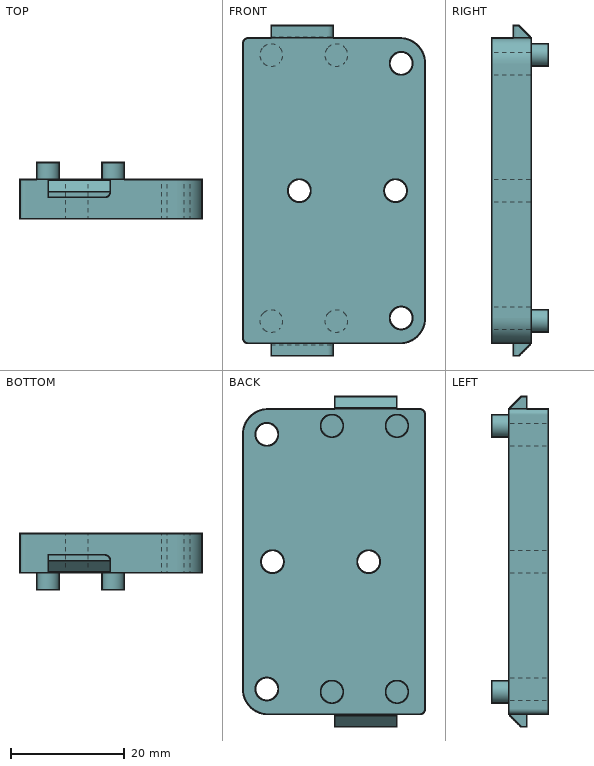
import cadquery as cq

plate_width = 32.25
plate_thickness = 7.0
plate_height = 54.0
left_corner_radius = 1.0
right_corner_radius = 4.5

hole_diameter = 4.0
corner_hole_inset_x = 4.25
corner_hole_inset_z = 4.5
middle_hole_xs = (10.0, 27.0)

pin_diameter = 4.0
pin_length = 3.0
pin_xs = (5.0, 16.5)
top_pin_inset = 3.0
bottom_pin_inset = 4.0

tab_left = 5.0
tab_width = 11.0
tab_height = 2.2
tab_thickness = 3.0
tab_back_gap = 0.2
tab_chamfer = 2.0
tab_corner_radius = 1.0

half_height = plate_height / 2


def make_plate():
    plate = cq.Workplane("XY").box(
        plate_width, plate_thickness, plate_height, centered=(False, False, True)
    )
    plate = plate.edges("|Y and <X").fillet(left_corner_radius)
    return plate.edges("|Y and >X").fillet(right_corner_radius)


def make_holes():
    corner_x = plate_width - corner_hole_inset_x
    corner_z = half_height - corner_hole_inset_z
    centers = [(corner_x, corner_z), (corner_x, -corner_z)]
    centers += [(x, 0) for x in middle_hole_xs]
    return cq.Workplane("XZ").pushPoints(centers).circle(hole_diameter / 2).extrude(-plate_thickness)


def make_pins():
    top_z = half_height - top_pin_inset
    bottom_z = bottom_pin_inset - half_height
    centers = [(x, z) for x in pin_xs for z in (top_z, bottom_z)]
    back_face = cq.Workplane("XZ", origin=(0, plate_thickness, 0))
    return back_face.pushPoints(centers).circle(pin_diameter / 2).extrude(-pin_length)


def make_top_tab():
    """Bar with an upright front face and a 45 degree chamfer along its back."""
    back_y = plate_thickness - tab_back_gap
    front_y = back_y - tab_thickness
    tip_z = half_height + tab_height
    tab = (
        cq.Workplane("YZ", origin=(tab_left, 0, 0))
        .moveTo(front_y, half_height)
        .lineTo(back_y, half_height)
        .lineTo(back_y, tip_z - tab_chamfer)
        .lineTo(back_y - tab_chamfer, tip_z)
        .lineTo(front_y, tip_z)
        .close()
        .extrude(tab_width)
    )
    return tab.edges("|Z and >X and <Y").fillet(tab_corner_radius)


top_tab = make_top_tab()
bottom_tab = top_tab.mirror("XY")

result = make_plate().cut(make_holes()).union(make_pins()).union(top_tab).union(bottom_tab)